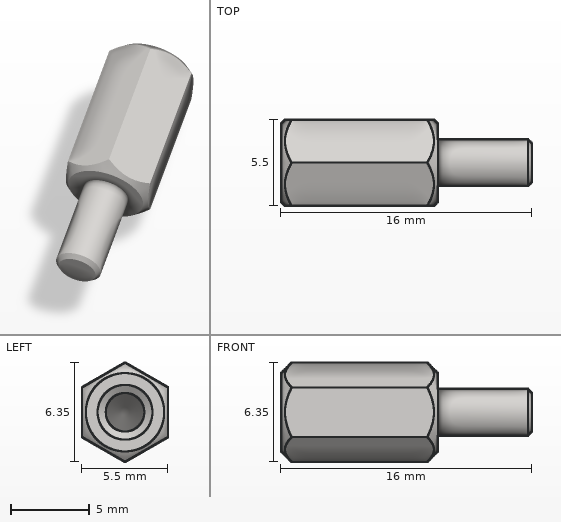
import cadquery as cq
import math

major_diameter = 3.0
minor_diameter = 2.46

body_length = 10.0
across_flats = 5.5
across_corners = across_flats / math.cos(math.radians(30))
end_face_diameter = 5.0
corner_chamfer = (across_corners - end_face_diameter) / 2

stud_length = 6.0
stud_tip_chamfer = (major_diameter - minor_diameter) / 2

hole_depth = 6.0
drill_point_angle = 118.0
countersink_diameter = 3.5
countersink_depth = (countersink_diameter - minor_diameter) / 2


def make_body():
    """Hexagonal prism with both ends trimmed by a 45 degree cone."""
    prism = (
        cq.Workplane("YZ")
        .transformed(rotate=(0, 0, 90))
        .polygon(6, across_corners)
        .extrude(body_length)
    )
    trimming_cylinder = (
        cq.Workplane("YZ")
        .circle(across_corners / 2)
        .extrude(body_length)
        .faces("<X or >X")
        .chamfer(corner_chamfer)
    )
    return prism.intersect(trimming_cylinder)


def make_stud():
    """Cylindrical stud with a chamfered tip."""
    return (
        cq.Workplane("YZ", origin=(body_length, 0, 0))
        .circle(major_diameter / 2)
        .extrude(stud_length)
        .faces(">X")
        .chamfer(stud_tip_chamfer)
    )


def make_hole():
    """Countersunk blind hole ending in a drill point, revolved about the X axis."""
    hole_radius = minor_diameter / 2
    point_depth = hole_radius / math.tan(math.radians(drill_point_angle / 2))
    profile = [
        (0, 0),
        (0, countersink_diameter / 2),
        (countersink_depth, hole_radius),
        (hole_depth, hole_radius),
        (hole_depth + point_depth, 0),
    ]
    return cq.Workplane("XY").polyline(profile).close().revolve(360, (0, 0, 0), (1, 0, 0))


result = make_body().union(make_stud()).cut(make_hole())